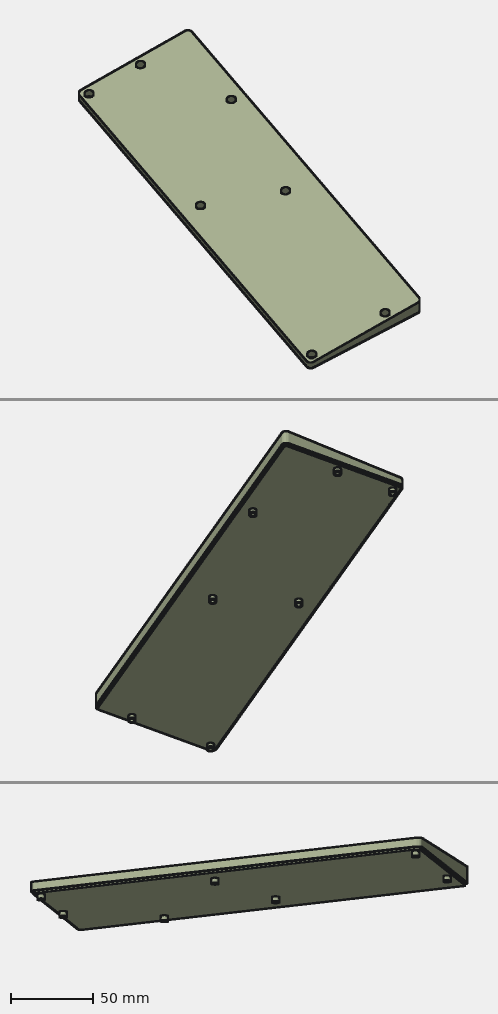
import cadquery as cq

length = 254.0
width = 82.0
total_height = 15.0
front_height = 10.2
corner_radius = 3.0

step_inset = 1.3
step_height = 1.5

foot_height = 3.0
foot_diameter = 4.5
bore_diameter = 3.3
head_diameter = 5.5
head_seat_height = foot_height + step_height

edge_inset = 5.3
right_inset = length - edge_inset
screw_positions = [
    (edge_inset, edge_inset),
    (right_inset, edge_inset),
    (edge_inset, 43.0),
    (right_inset, 59.0),
    (59.7, 73.0),
    (115.3, 13.2),
    (136.5, 61.2),
]


def rounded_block(inset, bottom):
    """Block with rounded corners, inset from the plate outline, reaching the full height."""
    return (
        cq.Workplane("XY")
        .workplane(offset=bottom)
        .center(length / 2, width / 2)
        .rect(length - 2 * inset, width - 2 * inset)
        .extrude(total_height - bottom)
        .edges("|Z").fillet(corner_radius - inset)
    )


def wedge_plate():
    """Plate with a sloping top and a bottom layer stepped in all round."""
    plate = rounded_block(0, foot_height + step_height)
    plate = plate.union(rounded_block(step_inset, foot_height))
    side_profile = (
        cq.Workplane("YZ")
        .polyline([(0, 0), (width, 0), (width, total_height), (0, front_height)])
        .close()
        .extrude(length)
    )
    return plate.intersect(side_profile)


def cylinders(diameter, bottom, top):
    """Upright cylinders at every screw position."""
    return (
        cq.Workplane("XY")
        .workplane(offset=bottom)
        .pushPoints(screw_positions)
        .circle(diameter / 2)
        .extrude(top - bottom)
    )


feet = cylinders(foot_diameter, 0, head_seat_height)
bores = cylinders(bore_diameter, 0, total_height)
head_recesses = cylinders(head_diameter, head_seat_height, total_height)

result = wedge_plate().union(feet).cut(bores).cut(head_recesses)